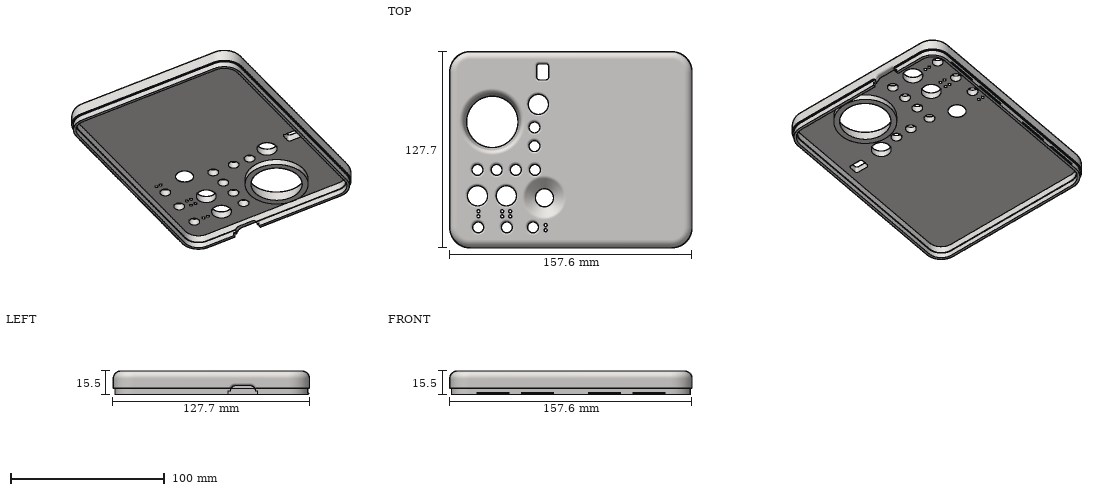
import cadquery as cq
import math

LENGTH = 157.6
WIDTH = 127.7
HEIGHT = 15.5
CORNER_RADIUS = 13.2
TOP_ROUND = 5.0

LIP_HEIGHT = 4.1
LIP_INSET = 1.1
STEP_CHAMFER = 0.3
LIP_WALL_INSET = 2.8
LEDGE_WIDTH = 0.5
ROOF = 6.0

BEAD_LENGTH = 20.8
BEAD_REACH = 0.6
BEAD_HEIGHT = 1.0
BEAD_Z = 0.8
BEAD_CENTRES = (-50.7, -21.7, 21.7, 50.7)

NOTCH_Y = -20.5
NOTCH_WIDTH = 16.0
NOTCH_TOP = 5.8
NOTCH_CORNER = 3.2
NOTCH_ROUND = 1.5
NOTCH_DEPTH = 4.7
GAP_HEIGHT = 2.4

WINDOW_CENTRE = (-18.3, 50.6)
WINDOW_SIZE = (7.5, 10.2)
WINDOW_CORNER = 1.5
WINDOW_ROUND = 1.5

SMALL_RADIUS = 3.5
MEDIUM_RADIUS = 6.5
SMALL_ROUND = 1.7
MEDIUM_ROUND = 1.5
ROW_START = (-60.7, -13.1)
ROW_PITCH = 12.5
ROW_COUNT = 4
ROW_CENTRES = [(ROW_START[0] + i * ROW_PITCH, ROW_START[1]) for i in range(ROW_COUNT)]
BOTTOM_ROW_Y = -50.5
SMALL_CENTRES = ROW_CENTRES + [
    (-23.6, 14.5),
    (-23.6, 2.4),
    (-60.2, BOTTOM_ROW_Y),
    (-41.6, BOTTOM_ROW_Y),
    (-24.6, BOTTOM_ROW_Y),
]
MEDIUM_CENTRES = [(-21.1, 29.5), (-60.7, -30.0), (-42.0, -30.0)]

PIN_RADIUS = 1.0
PIN_ROUND = 0.6
PIN_PITCH = 3.3
PIN_PAIR_CENTRES = [(-60.0, -41.6), (-44.6, -41.6), (-39.4, -41.6), (-16.4, -50.6)]

LARGE_CENTRE = (-51.0, 18.1)
LARGE_RIM_RADIUS = 21.6
LARGE_RIM_ROUND = 3.2
LARGE_WALL_ANGLE = 76.0
LARGE_DEPTH = 10.1
COLLAR_RADIUS = 20.5

FUNNEL_CENTRE = (-17.2, -31.2)
FUNNEL_RIM_RADIUS = 14.3
FUNNEL_RIM_ROUND = 3.2
FUNNEL_WALL_ANGLE = 36.5
FUNNEL_CONE_END_RADIUS = 6.5
THROAT_ROUND = 1.9

SELECT_MARGIN = 0.2


def rounded_block(inset, bottom, top):
    """Block with rounded vertical corners, set in evenly from the outer outline."""
    block = cq.Workplane("XY", origin=(0, 0, bottom))
    block = block.rect(LENGTH - 2 * inset, WIDTH - 2 * inset).extrude(top - bottom)
    return block.edges("|Z").fillet(CORNER_RADIUS - inset)


def turned(profile, centre):
    """Revolve a radius-height profile about the vertical axis through centre."""
    solid = profile.close().revolve(360, (0, 0), (0, 1))
    return solid.translate((centre[0], centre[1], 0))


def rim_point(rim_radius, rim_round, angle):
    """Radius and height on the rim round where it has turned down by angle degrees."""
    turn = math.radians(angle)
    return (rim_radius - rim_round * math.sin(turn), HEIGHT - rim_round * (1 - math.cos(turn)))


def rim_profile(rim_radius, rim_round, wall_angle):
    """Start a cutter profile: flat top, then a round that ends tangent to the wall below."""
    profile = cq.Workplane("XZ").moveTo(0, HEIGHT).lineTo(rim_radius, HEIGHT)
    return profile.threePointArc(
        rim_point(rim_radius, rim_round, wall_angle / 2),
        rim_point(rim_radius, rim_round, wall_angle),
    )


def round_hole(bore_radius, rim_round, centre):
    profile = rim_profile(bore_radius + rim_round, rim_round, 90)
    return turned(profile.lineTo(bore_radius, 0).lineTo(0, 0), centre)


def large_hole():
    taper_radius, taper_top = rim_point(LARGE_RIM_RADIUS, LARGE_RIM_ROUND, LARGE_WALL_ANGLE)
    bottom = HEIGHT - LARGE_DEPTH
    bottom_radius = taper_radius - (taper_top - bottom) / math.tan(math.radians(LARGE_WALL_ANGLE))
    profile = rim_profile(LARGE_RIM_RADIUS, LARGE_RIM_ROUND, LARGE_WALL_ANGLE)
    return turned(profile.lineTo(bottom_radius, bottom).lineTo(0, bottom), LARGE_CENTRE)


def large_collar():
    collar = cq.Workplane("XY", origin=(*LARGE_CENTRE, HEIGHT - LARGE_DEPTH))
    return collar.circle(COLLAR_RADIUS).extrude(LARGE_DEPTH - ROOF)


def funnel():
    slope = math.radians(FUNNEL_WALL_ANGLE)
    cone_radius, cone_top = rim_point(FUNNEL_RIM_RADIUS, FUNNEL_RIM_ROUND, FUNNEL_WALL_ANGLE)
    cone_end = cone_top - (cone_radius - FUNNEL_CONE_END_RADIUS) * math.tan(slope)
    bore_radius = FUNNEL_CONE_END_RADIUS - THROAT_ROUND * (1 - math.sin(slope))
    bore_top = cone_end - THROAT_ROUND * math.cos(slope)
    middle = (slope + math.pi / 2) / 2
    throat_middle = (
        bore_radius + THROAT_ROUND * (1 - math.sin(middle)),
        bore_top + THROAT_ROUND * math.cos(middle),
    )
    profile = rim_profile(FUNNEL_RIM_RADIUS, FUNNEL_RIM_ROUND, FUNNEL_WALL_ANGLE)
    profile = profile.lineTo(FUNNEL_CONE_END_RADIUS, cone_end)
    profile = profile.threePointArc(throat_middle, (bore_radius, bore_top))
    return turned(profile.lineTo(bore_radius, 0).lineTo(0, 0), FUNNEL_CENTRE)


def notch_opening():
    """Round-cornered opening whose outer edge flares with a convex round."""
    outer_x = -LENGTH / 2
    slab = cq.Workplane("XY", origin=(outer_x + NOTCH_DEPTH / 2, NOTCH_Y, 0))
    slab = slab.box(NOTCH_DEPTH, 2 * NOTCH_WIDTH, 4 * NOTCH_TOP)
    opening = cq.Workplane("XY", origin=(outer_x, NOTCH_Y, 0))
    opening = opening.box(2 * NOTCH_DEPTH, NOTCH_WIDTH, 2 * NOTCH_TOP).edges("|X").fillet(NOTCH_CORNER)
    mouth = cq.selectors.BoxSelector(
        (outer_x - SELECT_MARGIN, NOTCH_Y - NOTCH_WIDTH / 2 - SELECT_MARGIN, -NOTCH_TOP - SELECT_MARGIN),
        (outer_x + SELECT_MARGIN, NOTCH_Y + NOTCH_WIDTH / 2 + SELECT_MARGIN, NOTCH_TOP + SELECT_MARGIN),
    )
    flared_slab = slab.cut(opening).edges(mouth).fillet(NOTCH_ROUND)
    return slab.cut(flared_slab)


def notch_gap():
    """Wider gap through the bottom edge of the lip, as wide as the flare."""
    gap = cq.Workplane("XY", origin=(-LENGTH / 2, NOTCH_Y, 0))
    return gap.box(2 * NOTCH_DEPTH, NOTCH_WIDTH + 2 * NOTCH_ROUND, 2 * GAP_HEIGHT)


def snap_bead(x):
    """Triangular ridge that runs along X on the front face of the lip."""
    bead = cq.Workplane("YZ", origin=(x - BEAD_LENGTH / 2, -WIDTH / 2 + LIP_INSET, BEAD_Z))
    bead = bead.moveTo(0, -BEAD_HEIGHT / 2).lineTo(-BEAD_REACH, 0).lineTo(0, BEAD_HEIGHT / 2)
    return bead.close().extrude(BEAD_LENGTH)


body = rounded_block(0, LIP_HEIGHT, HEIGHT).faces(">Z").edges().fillet(TOP_ROUND)
body = body.faces("<Z").edges().chamfer(STEP_CHAMFER)
body = body.union(rounded_block(LIP_INSET, 0, LIP_HEIGHT))

body = body.cut(rounded_block(LIP_WALL_INSET, 0, LIP_HEIGHT))
body = body.cut(rounded_block(LIP_WALL_INSET + LEDGE_WIDTH, LIP_HEIGHT, HEIGHT - ROOF))
body = body.union(large_collar())

window = cq.Workplane("XY", origin=(*WINDOW_CENTRE, 0)).rect(*WINDOW_SIZE).extrude(HEIGHT)
body = body.cut(window.edges("|Z").fillet(WINDOW_CORNER))
window_edges = cq.selectors.BoxSelector(
    (WINDOW_CENTRE[0] - WINDOW_SIZE[0], WINDOW_CENTRE[1] - WINDOW_SIZE[1], HEIGHT - SELECT_MARGIN),
    (WINDOW_CENTRE[0] + WINDOW_SIZE[0], WINDOW_CENTRE[1] + WINDOW_SIZE[1], HEIGHT + SELECT_MARGIN),
)
body = body.edges(window_edges).fillet(WINDOW_ROUND)

body = body.cut(notch_opening()).cut(notch_gap())

body = body.cut(large_hole()).cut(funnel())
for place in SMALL_CENTRES:
    body = body.cut(round_hole(SMALL_RADIUS, SMALL_ROUND, place))
for place in MEDIUM_CENTRES:
    body = body.cut(round_hole(MEDIUM_RADIUS, MEDIUM_ROUND, place))
for pair_x, pair_y in PIN_PAIR_CENTRES:
    for side in (-1, 1):
        place = (pair_x, pair_y + side * PIN_PITCH / 2)
        body = body.cut(round_hole(PIN_RADIUS, PIN_ROUND, place))

for bead_x in BEAD_CENTRES:
    body = body.union(snap_bead(bead_x))

result = body